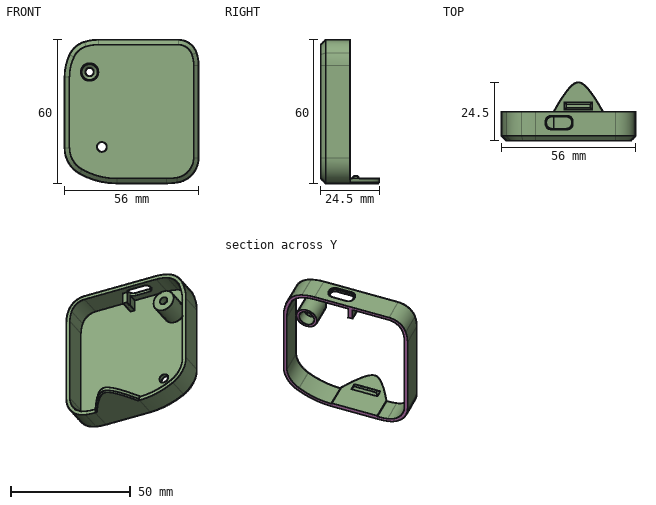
import cadquery as cq
import math

WIDTH = 56.0
HEIGHT = 60.0
BODY_DEPTH = 12.25
WALL = 1.7
PLATE = 2.0
FRONT_CHAMFER = 2.1

BOTTOM_RIGHT = [(29.5, 9.0), (10.6, 81.0)]
TOP_RIGHT = [(15.7, 19.5), (8.1, 70.5)]
TOP_LEFT = [(19.0, 17.5), (10.3, 47.0), (21.4, 25.5)]
BOTTOM_LEFT = [(12.3, 60.0), (31.2, 30.0)]

SCREW_X = -17.5
SCREW_Z = 16.5
SCREW_DIAMETER = 3.4
HEAD_DIAMETER = 6.6
HEAD_DEPTH = 7.0
HEAD_EDGE_CHAMFER = 0.4
BOSS_DIAMETER = 9.4

PIN_HOLE_X = -12.4
PIN_HOLE_Z = -14.75
PIN_HOLE_DIAMETER = 4.0

SLOT_X = -3.95
SLOT_Y = 7.65
SLOT_LENGTH = 10.6
SLOT_WIDTH = 4.9
SLOT_CORNER_RADIUS = 2.1
SLOT_CHAMFER = 0.45

RIB_X = 1.1
RIB_THICKNESS = 2.0
RIB_BACK_Y = 9.0
RIB_DROP = 5.0

TONGUE_X = 4.05
TONGUE_TIP_Y = 24.52
TONGUE_THICKNESS = 2.1
TONGUE_ROOT_HALF_WIDTH = 10.3
TONGUE_HALF_EDGE = [(7.9, 16.35), (4.35, 21.43), (2.1, 23.66), (0.0, TONGUE_TIP_Y)]
TONGUE_CHAMFER = 0.6

RIDGE_Y = 14.6
RIDGE_LENGTH = 11.7
RIDGE_WIDTH = 3.2
RIDGE_HEIGHT = 1.1
RIDGE_INSET = 0.9

BOTTOM_Z = -HEIGHT / 2
TOP_Z = HEIGHT / 2


def xz_plane_at(y):
    """Plane parallel to the front face, with its normal pointing to the back (+Y).

    Its local x is +X and its local y is -Z.
    """
    return cq.Workplane(cq.Plane(origin=(0, y, 0), xDir=(1, 0, 0), normal=(0, 1, 0)))


def arc_step(radius, start_angle, sweep):
    """Move along a counterclockwise arc, from and to the given outward-normal angles."""
    start = math.radians(start_angle)
    end = math.radians(start_angle + sweep)
    return (
        radius * (math.cos(end) - math.cos(start)),
        radius * (math.sin(end) - math.sin(start)),
    )


def corner_end(corner, start_angle):
    """Total move from the start to the end of a corner."""
    total_x = 0.0
    total_z = 0.0
    for radius, sweep in corner:
        step_x, step_z = arc_step(radius, start_angle, sweep)
        total_x += step_x
        total_z += step_z
        start_angle += sweep
    return total_x, total_z


def outline():
    """Closed outline of the body in X and Z, drawn on the front plane (normal -Y)."""
    half_width = WIDTH / 2
    right_dx, right_dz = corner_end(BOTTOM_RIGHT, -90)
    top_dx, top_dz = corner_end(TOP_RIGHT, 0)
    left_dx, left_dz = corner_end(TOP_LEFT, 90)
    bottom_dx, bottom_dz = corner_end(BOTTOM_LEFT, 180)
    corners = [
        (BOTTOM_RIGHT, -90, half_width - right_dx, BOTTOM_Z),
        (TOP_RIGHT, 0, half_width, TOP_Z - top_dz),
        (TOP_LEFT, 90, -half_width - left_dx, TOP_Z),
        (BOTTOM_LEFT, 180, -half_width, BOTTOM_Z - bottom_dz),
    ]
    path = cq.Workplane("XZ").moveTo(-half_width + bottom_dx, BOTTOM_Z)
    for corner, angle, x, z in corners:
        path = path.lineTo(x, z)
        for radius, sweep in corner:
            mid_x, mid_z = arc_step(radius, angle, sweep / 2)
            end_x, end_z = arc_step(radius, angle, sweep)
            path = path.threePointArc((x + mid_x, z + mid_z), (x + end_x, z + end_z))
            x += end_x
            z += end_z
            angle += sweep
    return path.close()


def shell():
    body = outline().extrude(-BODY_DEPTH).faces("<Y").chamfer(FRONT_CHAMFER)
    cavity = outline().offset2D(-WALL).extrude(-BODY_DEPTH).translate((0, PLATE, 0))
    return body.cut(cavity)


def tongue():
    """Straight root on the bottom wall inside the body, then a blade with a round nose."""
    half_edge = [(TONGUE_ROOT_HALF_WIDTH, BODY_DEPTH)] + TONGUE_HALF_EDGE
    right_edge = [(TONGUE_X + half_width, y) for half_width, y in half_edge]
    left_edge = [(TONGUE_X - half_width, y) for half_width, y in half_edge]
    blade_edge = right_edge + left_edge[-2::-1]
    root_y = FRONT_CHAMFER
    blade = (
        cq.Workplane("XY", origin=(0, 0, BOTTOM_Z))
        .moveTo(TONGUE_X - TONGUE_ROOT_HALF_WIDTH, root_y)
        .lineTo(TONGUE_X + TONGUE_ROOT_HALF_WIDTH, root_y)
        .lineTo(*blade_edge[0])
        .spline(blade_edge[1:], includeCurrent=True)
        .close()
        .extrude(TONGUE_THICKNESS)
    )
    return blade.faces("<Z").edges("not(<Y)").chamfer(TONGUE_CHAMFER)


def snap_ridge():
    return (
        cq.Workplane("XY", origin=(TONGUE_X, RIDGE_Y, BOTTOM_Z + TONGUE_THICKNESS))
        .rect(RIDGE_LENGTH, RIDGE_WIDTH)
        .workplane(offset=RIDGE_HEIGHT)
        .rect(RIDGE_LENGTH - 2 * RIDGE_INSET, RIDGE_WIDTH - 2 * RIDGE_INSET)
        .loft()
    )


def cylinder(x, z, diameter, start_y, length):
    return xz_plane_at(start_y).center(x, -z).circle(diameter / 2).extrude(length)


def screw_boss():
    return cylinder(SCREW_X, SCREW_Z, BOSS_DIAMETER, PLATE / 2, BODY_DEPTH - PLATE / 2)


def screw_hole():
    """Solid of revolution: edge chamfer, head bore, 90 degree seat and screw clearance."""
    head = HEAD_DIAMETER / 2
    screw = SCREW_DIAMETER / 2
    seat_end = HEAD_DEPTH + head - screw
    half_section = [
        (0, 0),
        (head + HEAD_EDGE_CHAMFER, 0),
        (head, HEAD_EDGE_CHAMFER),
        (head, HEAD_DEPTH),
        (screw, seat_end),
        (screw, BODY_DEPTH),
        (0, BODY_DEPTH),
    ]
    profile = cq.Workplane("XY").polyline(half_section).close()
    return profile.revolve(360, (0, 0, 0), (0, 1, 0)).translate((SCREW_X, 0, SCREW_Z))


def slot_rib():
    rib_z = TOP_Z - WALL - RIB_DROP
    return cq.Workplane("XY").box(
        RIB_THICKNESS, RIB_BACK_Y - PLATE, RIB_DROP, centered=False
    ).translate((RIB_X, PLATE, rib_z))


def slot():
    """Rounded slot through the top wall, widened by a chamfer at the outer surface."""
    depth = WALL + RIB_DROP
    opening = (
        cq.Workplane("XY", origin=(SLOT_X, SLOT_Y, TOP_Z - depth))
        .rect(SLOT_LENGTH, SLOT_WIDTH)
        .extrude(depth)
        .edges("|Z")
        .fillet(SLOT_CORNER_RADIUS)
    )
    flare = (
        cq.Workplane("XY", origin=(SLOT_X, SLOT_Y, TOP_Z - SLOT_CHAMFER))
        .sketch()
        .rect(SLOT_LENGTH, SLOT_WIDTH)
        .vertices()
        .fillet(SLOT_CORNER_RADIUS)
        .finalize()
        .extrude(SLOT_CHAMFER, taper=-45)
    )
    return opening.union(flare)


result = (
    shell()
    .union(tongue())
    .union(snap_ridge())
    .union(screw_boss())
    .union(slot_rib())
    .cut(screw_hole())
    .cut(cylinder(PIN_HOLE_X, PIN_HOLE_Z, PIN_HOLE_DIAMETER, 0, PLATE))
    .cut(slot())
)